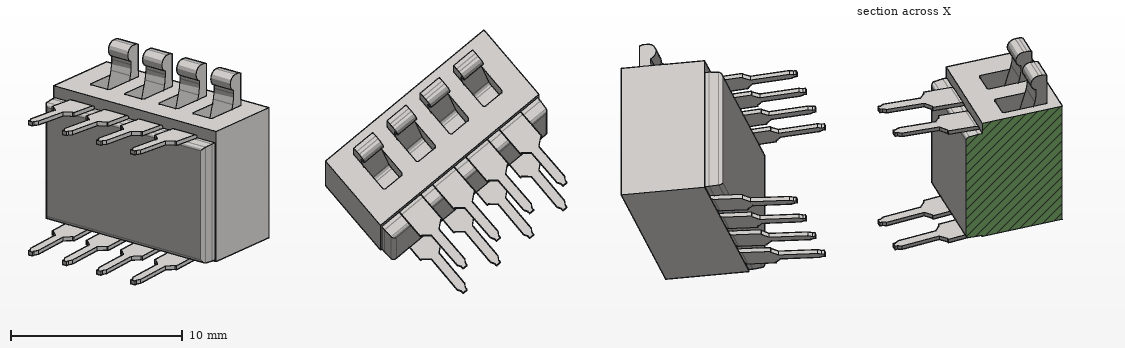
import cadquery as cq
import math


body_width = 12.1
body_depth = 5.0
body_height = 8.14

base_side_margin = 0.1
base_bottom_margin = 0.08
base_height = 7.33
base_depth = 1.02
base_straight = 0.25
base_edge_radius = 0.22
base_draft = 4.0
base_width = body_width - 2 * base_side_margin
base_middle = base_bottom_margin + base_height / 2

switch_count = 4
switch_pitch = 2.54
switch_places = [(i - (switch_count - 1) / 2) * switch_pitch for i in range(switch_count)]

slot_width = 1.45
slot_back = 4.24
slot_front = 1.48
slot_depth = 2.42
slot_corner_radius = 0.15

lever_height = 2.1
knob_radius = 0.5
knob_middle = 3.74
crown_back_drop = 0.08
crown_back_length = 0.28
neck_front = 3.56
neck_low = 0.94
slope_top_front = 3.48
slope_top_height = 0.28
slope_foot_front = 2.77
toe_length = 0.28
toe_rise = 0.24

pin_thickness = 0.25
pin_splay = 3.3
pin_length = 5.02
pin_width = 1.63
shoulder_flat = 0.1
shoulder_length = 1.95
neck_start = 2.31
neck_width = 0.58
taper_start = 4.65
taper_end = 4.86
tip_width = 0.31


def make_housing():
    """Plain block with one open slot per switch in its top face."""
    housing = cq.Workplane("XY").box(
        body_width, body_depth, body_height, centered=(True, False, False)
    )
    slot = (
        cq.Workplane("XY", origin=(0, slot_front, body_height - slot_depth))
        .box(slot_width, slot_back - slot_front, slot_depth, centered=(True, False, False))
        .edges("|Z and <Y")
        .fillet(slot_corner_radius)
    )
    for x in switch_places:
        housing = housing.cut(slot.translate((x, 0, 0)))
    return housing


def make_base():
    """Straight rim, then a slightly drafted slab with a rounded front edge."""
    rim = cq.Workplane("XZ", origin=(0, 0, base_middle)).rect(base_width, base_height).extrude(base_straight)
    slab = (
        cq.Workplane("XZ", origin=(0, -base_straight, base_middle))
        .rect(base_width, base_height)
        .extrude(base_depth - base_straight, taper=base_draft)
        .faces("<Y")
        .edges()
        .fillet(base_edge_radius)
    )
    return rim.union(slab)


def make_lever():
    """Lever profile in the YZ plane, from the slot floor up to the round knob."""
    knob_height = lever_height - knob_radius
    neck_high = knob_height - math.sqrt(knob_radius**2 - (knob_middle - neck_front) ** 2)
    toe_front = slope_foot_front - toe_length
    toe_top = toe_rise - slot_depth
    crown_middle = (slot_back - crown_back_length / 2, lever_height - crown_back_drop / 4)
    return (
        cq.Workplane("YZ", origin=(-slot_width / 2, 0, body_height))
        .moveTo(knob_middle, lever_height)
        .threePointArc((knob_middle - knob_radius, knob_height), (neck_front, neck_high))
        .lineTo(neck_front, neck_low)
        .tangentArcPoint((slope_top_front, slope_top_height), relative=False)
        .lineTo(slope_foot_front, toe_top)
        .tangentArcPoint((toe_front, -slot_depth), relative=False)
        .lineTo(slot_back, -slot_depth)
        .lineTo(slot_back, lever_height - crown_back_drop)
        .threePointArc(crown_middle, (slot_back - crown_back_length, lever_height))
        .close()
        .extrude(slot_width)
    )


def make_pin():
    """Upper pin: a bent strip cut to the stepped outline seen from above."""
    splay = math.radians(pin_splay)
    root = base_bottom_margin + base_height
    bend_y = -pin_thickness
    tip_inner = root + (pin_length + bend_y) * math.tan(splay)
    tip_outer = tip_inner + pin_thickness / math.cos(splay)

    def bend_point(elevation):
        """Point on the rounded outside of the bend, from the housing face upwards."""
        return (
            bend_y + pin_thickness * math.cos(elevation),
            root + pin_thickness * math.sin(elevation),
        )

    strip = (
        cq.Workplane("YZ", origin=(-pin_width / 2, 0, 0))
        .moveTo(*bend_point(0))
        .lineTo(bend_y, root)
        .lineTo(-pin_length, tip_inner)
        .lineTo(-pin_length, tip_outer)
        .lineTo(*bend_point(math.pi / 2 - splay))
        .threePointArc(bend_point(math.pi / 4), bend_point(0))
        .close()
        .extrude(pin_width)
    )
    half_outline = [
        (pin_width / 2, 0),
        (pin_width / 2, -shoulder_length),
        (pin_width / 2 - shoulder_flat, -shoulder_length),
        (neck_width / 2, -neck_start),
        (neck_width / 2, -taper_start),
        (tip_width / 2, -taper_end),
        (tip_width / 2, -pin_length),
    ]
    other_half = [(-x, y) for x, y in reversed(half_outline)]
    outline = cq.Workplane("XY").polyline(half_outline + other_half).close().extrude(tip_outer)
    return strip.intersect(outline)


result = make_housing().union(make_base())
lever = make_lever()
upper_pin = make_pin()
lower_pin = upper_pin.mirror("XY", (0, 0, base_middle))
for x in switch_places:
    for piece in (lever, upper_pin, lower_pin):
        result = result.union(piece.translate((x, 0, 0)))